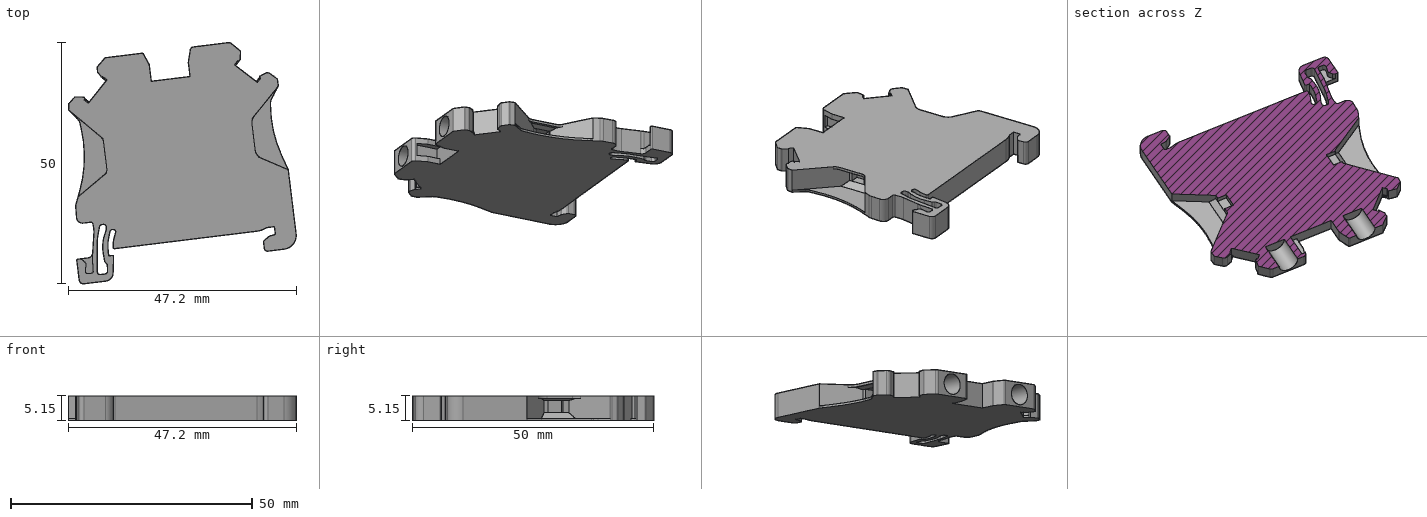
import cadquery as cq
import math

TILT = 7.0
THICKNESS = 5.15
FLOOR = 0.47
TOP_PLATE = 0.55
HOOK_WEB = 1.2
MID_Z = THICKNESS / 2

BLOCK_TOP = 23.67
CHANNEL_FLOOR = 17.67
RAIL_FACE = -15.88
BODY_RIGHT = 21.66
CLAW_BOTTOM = -20.26
FOOT_LEFT = -24.17
FOOT_BOTTOM = -22.33
FOOT_TOP = -17.06
FOOT_INNER_TOP = -17.16
LEG_ROOT = -20.88
HEEL_LEFT = -23.2
HEEL_BOTTOM = -9.83

LEFT_NOTCH_UPPER = (-13.4, 19.05)
LEFT_NOTCH_LOWER = (-17.8, 14.75)
RIGHT_NOTCH_UPPER = (13.25, 18.93)
RIGHT_NOTCH_LOWER = (17.5, 14.75)
SHOULDER_HEIGHT = 1.1
LEDGE_WIDTH = 0.28

SCREW_POSITIONS = (-9.25, 8.85)
SCREW_DIAMETER = 4.3
SCREW_DEPTH = BLOCK_TOP - CHANNEL_FLOOR

WALL_SLOT_WIDTH = 2.7
WALL_SLOT_TOP = 22.75
WALL_SLOT_BACK = 5.2

LEFT_OPENING = ((-23.0, -4.75, 0), (-15.65, 0.03, 1.4), (-15.65, 7.02, 1.6), (-23.0, 14.88, 0))
RIGHT_OPENING = ((-22.5, -4.5, 0), (-15.33, -0.35, 2.2), (-15.33, 7.25, 2.2), (-23.0, 14.7, 0))

POCKET_REACH = 26.0
FUNNEL_MOUTH = 15.0
FUNNEL_END = 13.75
FUNNEL_END_Z = (1.65, 4.15)
WIRE_HOLE_V = (1.42, 4.48)
WIRE_HOLE_DEPTH = 2.0


def rounded_wire(corners, z=0.0):
    """Closed wire through (u, v, radius) corners; a radius of zero is a sharp corner."""
    path = None
    count = len(corners)
    for i, (u, v, radius) in enumerate(corners):
        before = corners[i - 1]
        after = corners[(i + 1) % count]
        corner = cq.Vector(u, v, z)
        to_before = (cq.Vector(before[0], before[1], z) - corner).normalized()
        to_after = (cq.Vector(after[0], after[1], z) - corner).normalized()
        half_angle = to_before.getAngle(to_after) / 2
        setback = radius / math.tan(half_angle)
        start = corner + to_before * setback
        if path is None:
            path = cq.Workplane("XY").workplane(offset=z).moveTo(start.x, start.y)
        else:
            path = path.lineTo(start.x, start.y)
        if radius > 0:
            bisector = (to_before + to_after).normalized()
            middle = corner + bisector * (radius / math.sin(half_angle) - radius)
            end = corner + to_after * setback
            path = path.threePointArc((middle.x, middle.y), (end.x, end.y))
    return path.close()


def notch_directions(upper, lower):
    """Unit vectors of a notch: down along its floor, and outward from its floor."""
    along = (cq.Vector(*lower) - cq.Vector(*upper)).normalized()
    outward = cq.Vector(-along.y, along.x)
    if outward.y < 0:
        outward = outward * -1
    return along, outward


def notch_corners(upper, lower):
    """Outline corners of a notch from its upper shoulder to its lower shoulder."""
    along, outward = notch_directions(upper, lower)
    upper_base = cq.Vector(*upper) + along * LEDGE_WIDTH
    lower_base = cq.Vector(*lower) - along * LEDGE_WIDTH
    rise = outward * SHOULDER_HEIGHT
    points = (upper_base + rise, upper_base, lower_base, lower_base + rise)
    return [(p.x, p.y, 0) for p in points]


def notch_recesses(upper, lower):
    """Strips cut above the floor plate so that each shoulder keeps only a thin ledge."""
    along, outward = notch_directions(upper, lower)
    rise = outward * SHOULDER_HEIGHT
    cutters = cq.Workplane("XY")
    for base, step in ((upper, along), (lower, along * -1)):
        inner = cq.Vector(*base)
        outer = inner + step * LEDGE_WIDTH
        points = (inner, outer, outer + rise, inner + rise)
        strip = rounded_wire([(p.x, p.y, 0) for p in points], FLOOR)
        cutters = cutters.add(strip.extrude(THICKNESS))
    return cutters


def housing():
    left_arm = [(-18.5, 16.1, 0), (-20.4, 16.38, 0.4), (-21.88, 15.09, 0.3), (-22.05, 13.86, 0)]
    left_side = [
        (-20.1, 11.3, 1.5),
        (-19.22, 3.03, 26.5),
        (-23.02, -6.0, 2.0),
        (HEEL_LEFT, HEEL_BOTTOM, 1.3),
    ]
    foot = [
        (-20.0, HEEL_BOTTOM, 0.3),
        (-19.8, -11.3, 6.0),
        (LEG_ROOT, FOOT_TOP, 1.0),
        (FOOT_LEFT, FOOT_TOP, 0.25),
        (FOOT_LEFT, FOOT_BOTTOM, 0.95),
        (-17.2, FOOT_BOTTOM, 1.8),
        (-16.4, FOOT_INNER_TOP, 0.3),
        (-17.4, FOOT_INNER_TOP, 0),
    ]
    spring_gap = [
        (-17.45, -16.4, 0),
        (-17.25, -14.3, 5.0),
        (-16.4, -11.7, 0.55),
        (-15.3, -12.1, 0.45),
        (-16.3, -14.6, 5.0),
        (-16.35, RAIL_FACE, 0.3),
    ]
    claw = [
        (14.3, RAIL_FACE, 4.0),
        (15.85, -15.38, 0),
        (17.33, -15.4, 0),
        (17.33, -16.96, 0),
        (16.0, -17.2, 0.5),
        (14.7, -18.1, 0.3),
        (14.7, CLAW_BOTTOM, 0.7),
        (BODY_RIGHT, CLAW_BOTTOM, 2.9),
    ]
    right_side = [
        (BODY_RIGHT, -4.0, 0.8),
        (19.0, 4.3, 25.0),
        (19.75, 10.6, 2.0),
        (21.75, 13.55, 0.5),
    ]
    right_arm = [(21.7, 14.95, 0.3), (19.9, 16.65, 1.0), (18.1, 15.95, 0)]
    right_block = [
        (14.55, 19.85, 0),
        (14.85, 21.6, 0.2),
        (12.85, BLOCK_TOP, 0.8),
        (4.65, BLOCK_TOP, 0.8),
        (3.77, 20.6, 0),
        (3.77, CHANNEL_FLOOR, 0),
    ]
    left_block = [
        (-4.27, CHANNEL_FLOOR, 0),
        (-4.27, 21.1, 0.8),
        (-5.3, BLOCK_TOP, 0.3),
        (-13.2, BLOCK_TOP, 0.2),
        (-15.08, 21.95, 0.2),
        (-15.15, 20.9, 0.3),
    ]
    right_notch = notch_corners(RIGHT_NOTCH_UPPER, RIGHT_NOTCH_LOWER)
    left_notch = notch_corners(LEFT_NOTCH_UPPER, LEFT_NOTCH_LOWER)
    outline = left_arm + left_side + foot + spring_gap + claw + right_side + right_arm
    outline += right_notch[::-1] + right_block + left_block + left_notch
    return rounded_wire(outline).extrude(THICKNESS)


def spring_slot():
    corners = [
        (-18.5, -10.6, 0.6),
        (-17.25, -10.6, 0.5),
        (-17.3, -11.7, 1.0),
        (-18.65, -14.5, 8.0),
        (-18.45, -18.3, 0.4),
        (-18.0, -18.9, 0.5),
        (-18.15, -20.8, 0.6),
        (-20.25, -20.8, 0.5),
        (-19.4, -13.6, 8.0),
    ]
    return rounded_wire(corners).extrude(THICKNESS)


def hook_recess():
    corners = [
        (-23.5, FOOT_TOP, 0),
        (-22.95, -17.35, 0),
        (-22.3, -18.2, 0.4),
        (-22.8, -20.35, 0.5),
        (-21.05, -20.3, 0.3),
        (LEG_ROOT, FOOT_TOP, 0),
        (-20.6, -15.5, 0),
        (-23.5, -15.5, 0),
    ]
    return rounded_wire(corners, HOOK_WEB).extrude(THICKNESS)


def wall_v(wall_start, wall_end, u):
    """The v reached at u by the straight pocket wall through two corners."""
    slope = (wall_end[1] - wall_start[1]) / (wall_end[0] - wall_start[0])
    return wall_start[1] + slope * (u - wall_start[0])


def funnel(opening):
    """Wire entry between the extended left pocket walls, tapering in height beneath the top plate."""
    lower_start, lower_end, upper_end, upper_start = opening
    sections = (
        (-FUNNEL_MOUTH, (FLOOR, THICKNESS - TOP_PLATE)),
        (-FUNNEL_END, FUNNEL_END_Z),
    )
    wires = []
    for u, (z_low, z_high) in sections:
        v_low = wall_v(lower_start, lower_end, u)
        v_high = wall_v(upper_start, upper_end, u)
        points = [(u, v_low, z_low), (u, v_high, z_low), (u, v_high, z_high), (u, v_low, z_high)]
        wires.append(cq.Wire.makePolygon([cq.Vector(*p) for p in points], close=True))
    return cq.Workplane(cq.Solid.makeLoft(wires, True))


def wire_hole():
    """Rectangular blind hole that continues the left funnel into the body."""
    v_low, v_high = WIRE_HOLE_V
    z_low, z_high = FUNNEL_END_Z
    hole = cq.Workplane("XY").box(WIRE_HOLE_DEPTH, v_high - v_low, z_high - z_low, centered=False)
    return hole.translate((-FUNNEL_END, v_low, z_low))


def side_pocket(opening):
    """Left wire pocket: the rounded opening, an undercut, the funnel and the wire hole."""
    lower_start, lower_end, upper_end, upper_start = opening
    reach = [(-POCKET_REACH, upper_start[1], 0), (-POCKET_REACH, lower_start[1], 0)]
    cutter = rounded_wire(list(opening) + reach, FLOOR).extrude(THICKNESS)
    mouth = [
        (-FUNNEL_MOUTH, wall_v(lower_start, lower_end, -FUNNEL_MOUTH), 0),
        (-FUNNEL_MOUTH, wall_v(upper_start, upper_end, -FUNNEL_MOUTH), 0),
    ]
    undercut_wire = rounded_wire([lower_start] + mouth + [upper_start] + reach, FLOOR)
    undercut = undercut_wire.extrude(THICKNESS - TOP_PLATE - FLOOR)
    return cutter.union(undercut).union(funnel(opening)).union(wire_hole())


def screw_holes():
    holes = cq.Workplane("XZ", origin=(0, BLOCK_TOP, 0))
    holes = holes.pushPoints([(u, MID_Z) for u in SCREW_POSITIONS])
    return holes.circle(SCREW_DIAMETER / 2).extrude(SCREW_DEPTH)


def wall_slot():
    """Slot down the channel wall of the right block, from below its top to the channel floor."""
    height = WALL_SLOT_TOP - CHANNEL_FLOOR
    slot = cq.Workplane("XY").box(WALL_SLOT_BACK, height, WALL_SLOT_WIDTH, centered=(False, False, True))
    return slot.translate((0, CHANNEL_FLOOR, MID_Z))


body = housing()
body = body.cut(spring_slot())
body = body.cut(hook_recess())
body = body.cut(side_pocket(LEFT_OPENING))
body = body.cut(side_pocket(RIGHT_OPENING).mirror("YZ"))
for upper_end, lower_end in (
    (LEFT_NOTCH_UPPER, LEFT_NOTCH_LOWER),
    (RIGHT_NOTCH_UPPER, RIGHT_NOTCH_LOWER),
):
    for recess in notch_recesses(upper_end, lower_end).vals():
        body = body.cut(cq.Workplane(recess))
body = body.cut(screw_holes())
body = body.cut(wall_slot())

result = body.rotate((0, 0, 0), (0, 0, 1), TILT)